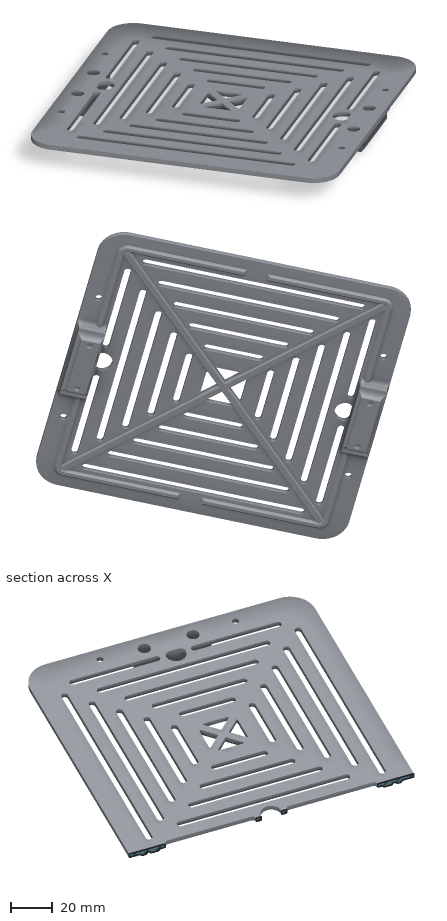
import cadquery as cq
import math

length, width, height = 153.2, 146.7, 10.5
plate_thickness = 2.5
plate_corner_radius = 13.0

frame_depth = 3.5
rim_taper, rib_taper = 45, 25
rim_side, rim_corner_radius = 135.2, 5.0
rim_gap = 10.4
bar_width = 3.8

foot_outer_x, foot_inner_x = 75.5, 62.5
foot_length = 38.3
shoulder_depth = 7.5
foot_flare = 2.5
toe_width, toe_length, toe_center_x = 9.3, 29.7, 68.8
foot_width = foot_outer_x - foot_inner_x
foot_center_x = (foot_outer_x + foot_inner_x) / 2
toe_flare = height - shoulder_depth - 0.02

inner_ring, outer_ring = 2, 6
outer_slot_offset = 60.0
slot_pitch = outer_slot_offset / outer_ring
slot_width = 3.4
slot_corner_gap = 5.5
split_slot_start = 8.0

window_side = 19.9
window_corner_radius = 0.5

screw_x, screw_y = 68.8, 12.5
screw_diameter, head_diameter = 3.0, 6.3
head_depth = shoulder_depth
pin_x, pin_y, pin_diameter = 69.9, 35.0, 3.4
grip_x, grip_diameter = 59.8, 10.3
grip_corner_radius = 2.8


def block(size_x, size_y, top, bottom, center_x=0):
    """Box between two depths below the top face."""
    return (
        cq.Workplane("XY", origin=(center_x, 0, -bottom))
        .rect(size_x, size_y)
        .extrude(bottom - top)
    )


def plate_blank(thickness):
    return block(length, width, 0, thickness).edges("|Z").fillet(plate_corner_radius)


def tapered_bar(size_x, size_y, corner_radius, taper):
    """Flat bar under the plate; a positive taper narrows it downward, a negative one widens it."""
    outline = cq.Sketch().rect(size_x, size_y)
    if corner_radius:
        outline = outline.vertices().fillet(corner_radius)
    return (
        cq.Workplane("XY", origin=(0, 0, -plate_thickness))
        .placeSketch(outline)
        .extrude(plate_thickness - frame_depth, taper=taper)
    )


def frame():
    inner_side = rim_side - 2 * bar_width
    inner_radius = rim_corner_radius - bar_width
    rim = tapered_bar(rim_side, rim_side, rim_corner_radius, rim_taper)
    rim = rim.cut(tapered_bar(inner_side, inner_side, inner_radius, -rim_taper))
    rim = rim.cut(tapered_bar(rim_gap, 2 * rim_side, 0, -rim_taper))
    diagonal = math.sqrt(2) * inner_side
    for angle in (45, 135):
        rib = tapered_bar(diagonal, bar_width, 0, rib_taper)
        rim = rim.union(rib.rotate((0, 0, 0), (0, 0, 1), angle))
    return rim


def inner_corner(center_x, size_x, size_y, depth):
    """Selects the edges around a block where it leaves the face at the given depth."""
    margin = 0.2
    return cq.selectors.BoxSelector(
        (center_x - size_x / 2 - margin, -size_y / 2 - margin, -depth - margin),
        (center_x + size_x / 2 + margin, size_y / 2 + margin, -depth + margin),
    )


def flared_step(size_x, size_y, center_x, top, root, bottom, flare):
    """Block hanging from a wider slab, with a concave fillet where it leaves the slab at the root."""
    slab = block(size_x + 4 * flare, size_y + 4 * flare, top, root, center_x)
    step = slab.union(block(size_x, size_y, top, bottom, center_x))
    return step.edges(inner_corner(center_x, size_x, size_y, root)).fillet(flare)


def foot(side):
    """Foot with a toe below it; its inner face stays flat and the plate's outline trims its flare."""
    center_x = side * foot_center_x
    toe_x = side * toe_center_x
    upper = flared_step(foot_width, foot_length, center_x, 0, plate_thickness, shoulder_depth, foot_flare)
    toe = flared_step(toe_width, toe_length, toe_x, plate_thickness, shoulder_depth, height, toe_flare)
    toe = toe.intersect(block(foot_width, foot_length, 0, height, center_x))
    outer_strip = block(length - 2 * foot_inner_x, width, 0, height, side * length / 2)
    return upper.union(toe).intersect(outer_strip).intersect(plate_blank(height))


def slot(x, y, slot_length, angle):
    return (
        cq.Workplane("XY", origin=(x, y, -height))
        .slot2D(slot_length, slot_width, angle)
        .extrude(height)
    )


def drain_slots():
    """Rings of four slots; the outer ring's X sides are split to leave room for the grip holes."""
    slots = []
    for ring in range(inner_ring, outer_ring + 1):
        offset = ring * slot_pitch
        reach = offset - slot_corner_gap
        for side in (-offset, offset):
            slots.append(slot(0, side, 2 * reach, 0))
            if ring < outer_ring:
                slots.append(slot(side, 0, 2 * reach, 90))
                continue
            middle = (reach + split_slot_start) / 2
            for end in (-middle, middle):
                slots.append(slot(side, end, reach - split_slot_start, 90))
    return slots


def crossed_window():
    window = block(window_side, window_side, 0, height)
    for angle in (45, 135):
        bar = block(2 * window_side, bar_width, 0, height)
        window = window.cut(bar.rotate((0, 0, 0), (0, 0, 1), angle))
    outer_corners = window.faces("<X or >X or <Y or >Y").edges("|Z")
    return outer_corners.fillet(window_corner_radius)


def holes(diameter, x, y, depth):
    """Four round holes mirrored about both axes."""
    return (
        cq.Workplane("XY")
        .rect(2 * x, 2 * y, forConstruction=True)
        .vertices()
        .circle(diameter / 2)
        .extrude(-depth)
    )


def grip_holes():
    """Round finger holes, each cut flat along the inner face of its foot."""
    rounds = (
        cq.Workplane("XY")
        .pushPoints([(-grip_x, 0), (grip_x, 0)])
        .circle(grip_diameter / 2)
        .extrude(-height)
    )
    flats = rounds.intersect(block(2 * foot_inner_x, width, 0, height))
    corners = flats.faces("<X or >X").edges("|Z")
    return corners.fillet(grip_corner_radius)


result = plate_blank(plate_thickness).union(frame())
for side in (-1, 1):
    result = result.union(foot(side))
for cutter in drain_slots():
    result = result.cut(cutter)
result = result.cut(crossed_window())
result = result.cut(grip_holes())
result = result.cut(holes(screw_diameter, screw_x, screw_y, height))
result = result.cut(holes(head_diameter, screw_x, screw_y, head_depth))
result = result.cut(holes(pin_diameter, pin_x, pin_y, height))